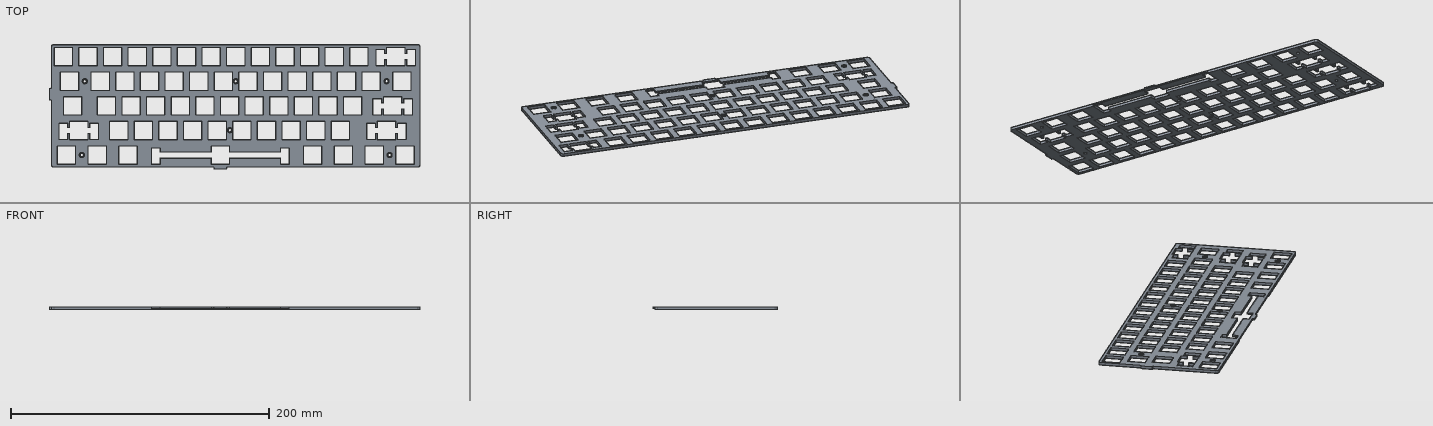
import cadquery as cq

overall_length = 287
overall_width = 96.5
thickness = 2.2
corner_radius = 2.0
tab_reach = 1.5
tab_flank = 0.43
left_tab_length = 8.5
left_tab_y = 9.8
front_tab_length = 9.5

plate_length = overall_length - tab_reach
plate_width = overall_width - tab_reach
plate_x = tab_reach / 2
plate_y = tab_reach / 2
plate_left = plate_x - plate_length / 2
plate_front = plate_y - plate_width / 2

layout_length = 285.7
layout_units = 15
key_pitch = layout_length / layout_units
switch_margin = 2.52
switch_size = key_pitch - 2 * switch_margin
spacebar_units = 6.25
key_rows = [
    [1] * 13 + [2],
    [1.5] + [1] * 12 + [1.5],
    [1.75] + [1] * 11 + [2.25],
    [2.25] + [1] * 10 + [2.75],
    [1.25] * 3 + [spacebar_units] + [1.25] * 4,
]

smallest_stabilised_key = 2
stabiliser_width = 6.5
stabiliser_rise = 5.5
stabiliser_drop = 7.0
stabiliser_web = 1.64
stabiliser_offset = switch_size / 2 + stabiliser_web + stabiliser_width / 2
spacebar_stabiliser_offset = 50.0
wire_slot_height = 4.5

rail_thickness = 1.2
relief_length = 2 * spacebar_stabiliser_offset + stabiliser_width

hole_diameter = 2.6
counterbore_diameter = 4.0
counterbore_depth = 0.72
rear_hole_y = 19.8
rear_hole_spacing = 116.8
front_hole_y = -37.3
front_hole_spacing = 119.0
middle_hole_x = -3.7
middle_hole_y = -18.0
hole_centres = [
    (plate_x - rear_hole_spacing, rear_hole_y),
    (plate_x, rear_hole_y),
    (plate_x + rear_hole_spacing, rear_hole_y),
    (middle_hole_x, middle_hole_y),
    (plate_x - front_hole_spacing, front_hole_y),
    (plate_x + front_hole_spacing, front_hole_y),
]


def place_keys():
    """Return (x, y, width in key units) for every key."""
    keys = []
    rear_row_y = plate_y + (len(key_rows) - 1) / 2 * key_pitch
    for row_number, row in enumerate(key_rows):
        y = rear_row_y - row_number * key_pitch
        left_edge = -layout_units / 2
        for units in row:
            x = plate_x + (left_edge + units / 2) * key_pitch
            keys.append((x, y, units))
            left_edge += units
    return keys


def block(x, y, length, width, height=thickness):
    """Upright block centred on (x, y) and standing on the underside plane."""
    return cq.Workplane("XY").center(x, y).rect(length, width).extrude(height)


def locating_tab(length):
    """Tab with sloping flanks, rooted on the X axis and pointing towards -Y."""
    half_tip = length / 2
    half_root = half_tip + tab_flank
    outline = [
        (-half_root, 0),
        (-half_tip, -tab_reach),
        (half_tip, -tab_reach),
        (half_root, 0),
    ]
    return cq.Workplane("XY").polyline(outline).close().extrude(thickness)


def make_plate(front_tab_x):
    plate = block(plate_x, plate_y, plate_length, plate_width)
    plate = plate.edges("|Z").fillet(corner_radius)
    front_tab = locating_tab(front_tab_length).translate((front_tab_x, plate_front, 0))
    left_tab = locating_tab(left_tab_length).rotate((0, 0, 0), (0, 0, 1), -90)
    left_tab = left_tab.translate((plate_left, left_tab_y, 0))
    return plate.union(front_tab).union(left_tab)


def stabiliser_cutter(x, y, offset):
    """Two stabiliser openings joined by the wire slot that crosses the switch opening."""
    height = stabiliser_rise + stabiliser_drop
    centre_y = y + (stabiliser_rise - stabiliser_drop) / 2
    cutter = block(x, y, 2 * offset, wire_slot_height)
    for side in (-1, 1):
        cutter = cutter.union(block(x + side * offset, centre_y, stabiliser_width, height))
    return cutter


def rail_relief(x, slot_y):
    """Recess in the underside, from the tip of the front tab back to the wire slot."""
    front = plate_front - tab_reach
    return block(x, (front + slot_y) / 2, relief_length, slot_y - front, thickness - rail_thickness)


keys = place_keys()
spacebar_x, spacebar_y = next((x, y) for x, y, units in keys if units == spacebar_units)
result = make_plate(spacebar_x)

switch_centres = [(x, y) for x, y, units in keys]
switch_openings = cq.Workplane("XY").pushPoints(switch_centres).rect(switch_size, switch_size)
result = result.cut(switch_openings.extrude(thickness))
for x, y, units in keys:
    if units >= smallest_stabilised_key:
        offset = spacebar_stabiliser_offset if units == spacebar_units else stabiliser_offset
        result = result.cut(stabiliser_cutter(x, y, offset))

result = result.cut(rail_relief(spacebar_x, spacebar_y))

result = (
    result.faces(">Z")
    .workplane(origin=(0, 0, thickness))
    .pushPoints(hole_centres)
    .cboreHole(hole_diameter, counterbore_diameter, counterbore_depth)
)